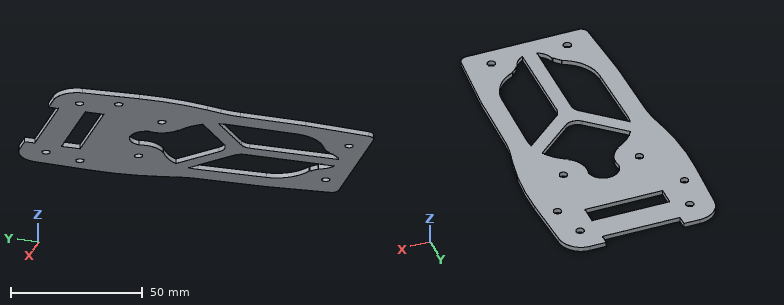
import cadquery as cq

thickness = 2.0
length = 126.44
top_y = length / 2
bottom_y = -length / 2
top_half_width = 31.3
shoulder_half_width, shoulder_y = 33.6, 18.3
waist_half_width, waist_y = 28.6, -4.95
bend_half_width, bend_y = 27.95, -35.0
bottom_half_width = 25.7
top_corner_radius = 9.3
shoulder_radius = 105.0
waist_radius = 42.0
bottom_corner_radius = 3.0

slot_width = 31.6
notch_depth = 4.0
slot_top_y = 48.6
slot_height = 7.3

hole_diameter = 3.1
corner_hole_x, corner_hole_y = 22.35, 52.8
side_hole_x, side_hole_y = 25.9, 38.4
inner_hole_x = 15.5
inner_hole_pitch_y = 74.0
inner_hole_center_y = -18.75
inner_hole_top_y = inner_hole_center_y + inner_hole_pitch_y / 2
inner_hole_bottom_y = inner_hole_center_y - inner_hole_pitch_y / 2

window_top_y, window_bottom_y = 11.6, -48.5
window_top_half_width = 20.9
window_bottom_half_width = 19.6
window_top_radius = 18.0
window_bottom_radius = 15.3
throat_width = 20.0
throat_bottom_y = -50.3
pad_radius = 9.65
head_radius, head_center_y = 6.25, 19.9
tail_radius, tail_center_y = 7.3, -48.7
stem_width = 6.0
arm_rise = 0.87
arm_top_apex_y = -12.8
arm_bottom_apex_y = -20.5
brace_fillet = 5.0


def prism(right_side):
    """Plate-thick solid from the right side of its outline, mirrored about X = 0."""
    left_side = [(-x, y) for x, y in reversed(right_side)]
    return cq.Workplane("XY").polyline(right_side + left_side).close().extrude(thickness)


def disc(x, y, radius):
    return cq.Workplane("XY").center(x, y).circle(radius).extrude(thickness)


def block(width, y_low, y_high):
    return prism([(width / 2, y_high), (width / 2, y_low)])


def fillet_corner(body, x, y, radius):
    """Round the upright edge at (x, y)."""
    reach = 0.1
    corner = cq.selectors.BoxSelector(
        (x - reach, y - reach, -reach),
        (x + reach, y + reach, thickness + reach),
    )
    return body.edges("|Z").edges(corner).fillet(radius)


def fillet_pair(body, x, y, radius):
    """Round the upright edges at (x, y) and (-x, y)."""
    return fillet_corner(fillet_corner(body, x, y, radius), -x, y, radius)


def make_plate():
    plate = prism([
        (top_half_width, top_y),
        (shoulder_half_width, shoulder_y),
        (waist_half_width, waist_y),
        (bend_half_width, bend_y),
        (bottom_half_width, bottom_y),
    ])
    plate = fillet_pair(plate, top_half_width, top_y, top_corner_radius)
    plate = fillet_pair(plate, shoulder_half_width, shoulder_y, shoulder_radius)
    plate = fillet_pair(plate, waist_half_width, waist_y, waist_radius)
    return fillet_pair(plate, bottom_half_width, bottom_y, bottom_corner_radius)


def inner_hole_points():
    return [
        (x, y)
        for x in (-inner_hole_x, inner_hole_x)
        for y in (inner_hole_bottom_y, inner_hole_top_y)
    ]


def screw_hole_points():
    points = inner_hole_points()
    for side in (-1, 1):
        points.append((side * corner_hole_x, corner_hole_y))
        points.append((side * side_hole_x, side_hole_y))
    return points


def make_brace():
    """Y-shaped brace: two rising arms on a central stem."""
    arm_x = shoulder_half_width
    arm_climb = arm_rise * arm_x
    stem_x = stem_width / 2
    crotch_y = arm_bottom_apex_y + arm_rise * stem_x
    brace = (
        cq.Workplane("XY")
        .moveTo(0, arm_top_apex_y)
        .lineTo(arm_x, arm_top_apex_y + arm_climb)
        .lineTo(arm_x, arm_bottom_apex_y + arm_climb)
        .lineTo(stem_x, crotch_y)
        .lineTo(stem_x, bottom_y)
        .lineTo(-stem_x, bottom_y)
        .lineTo(-stem_x, crotch_y)
        .lineTo(-arm_x, arm_bottom_apex_y + arm_climb)
        .lineTo(-arm_x, arm_top_apex_y + arm_climb)
        .close()
        .extrude(thickness)
    )
    brace = fillet_corner(brace, 0, arm_top_apex_y, brace_fillet)
    return fillet_pair(brace, stem_x, crotch_y, brace_fillet)


def make_window():
    """Rounded opening with a head and a tail, less the screw pads and the brace."""
    window = prism([
        (window_top_half_width, window_top_y),
        (window_bottom_half_width, window_bottom_y),
    ])
    window = fillet_pair(window, window_top_half_width, window_top_y, window_top_radius)
    window = fillet_pair(window, window_bottom_half_width, window_bottom_y, window_bottom_radius)
    window = window.union(block(throat_width, throat_bottom_y, inner_hole_top_y))
    window = window.union(disc(0, head_center_y, head_radius))
    window = window.union(disc(0, tail_center_y, tail_radius))
    for x, y in inner_hole_points():
        window = window.cut(disc(x, y, pad_radius))
    return window.cut(make_brace())


def make_notch_and_slot():
    notch = block(slot_width, top_y - notch_depth, top_y)
    slot = block(slot_width, slot_top_y - slot_height, slot_top_y)
    return notch.union(slot)


result = make_plate().cut(make_window()).cut(make_notch_and_slot())
for hole_x, hole_y in screw_hole_points():
    result = result.cut(disc(hole_x, hole_y, hole_diameter / 2))